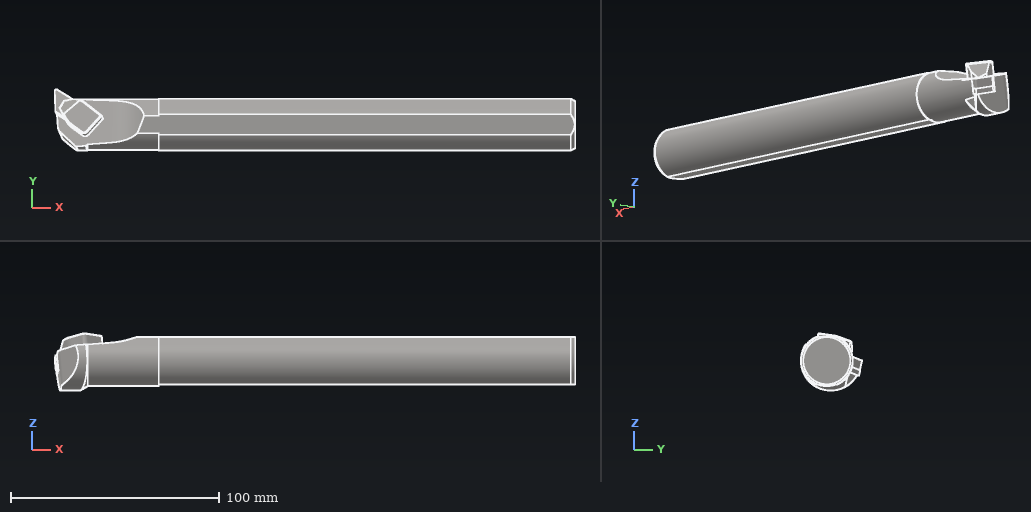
import cadquery as cq
import math


overall_length = 250.0
bar_diameter = 25.0
bar_radius = bar_diameter / 2
flat_height = 11.5
end_chamfer_length = 2.2
end_chamfer_depth = 1.2
neck_start = 16.0
neck_end = 50.0
neck_radius = 12.25

head_radius = 14.4
head_offset = head_radius - bar_radius
head_cone_angle = 30.0
relief_inset = 0.4

tip_offset = 17.0
side_tilt = 0.235
rake_tilt = 0.1
tool_normal = cq.Vector(-rake_tilt, side_tilt, 1).normalized()
tool_x = cq.Vector(1, 0, rake_tilt).normalized()
tool_y = tool_normal.cross(tool_x)
tool_origin = cq.Vector(0, tip_offset, 0)

front_top = (0.3, 0.0)
front_corner = (2.0, -20.0)
front_corner_radius = 4.0
oblique_direction = -43.0
relief_end_y = -4.9

insert_edge = 11.6
insert_angle = 55.0
insert_thickness = 4.76
insert_nose_radius = 0.8
lead_clearance = 3.0
leading_direction = lead_clearance - 90
trailing_direction = leading_direction + insert_angle
bisector_direction = leading_direction + insert_angle / 2
shim_thickness = 2.75
shim_edge = 11.0
shim_setback = 0.6
pocket_end_gap = 1.0

gouge_flat_length = 28.2
gouge_radius = 32.0

clamp_height = 6.65
clamp_left_bend = (7.0, -17.6)
clamp_back_corner = (15.5, -23.9)
clamp_outline = [
    (2.7, -9.5),
    clamp_left_bend,
    clamp_back_corner,
    (23.7, -14.5),
    (14.5, -7.3),
    (9.5, -5.6),
    (4.7, -5.6),
]
clamp_bend_radius = 10.0
clamp_corner_radius = 2.0
clamp_edge_chamfer = 0.4
nose_break = (8.6, -10.8)
nose_direction = 131.5
nose_slope_angle = 46.0

reach = 40.0


def tool_workplane(height=0.0):
    """Workplane parallel to the tool plane, a given height above it."""
    return cq.Workplane(cq.Plane(tool_origin + tool_normal * height, tool_x, tool_normal))


def tool_point(point, height=0.0):
    """Position in space of a point given in tool-plane coordinates."""
    return tool_origin + tool_x * point[0] + tool_y * point[1] + tool_normal * height


def along(point, angle, distance):
    """Point reached from another one in a direction of the tool plane."""
    turn = math.radians(angle)
    return (point[0] + distance * math.cos(turn), point[1] + distance * math.sin(turn))


def upright_workplane(point, angle):
    """Workplane square to the tool plane: local X runs along the angle, local Y is the tool normal."""
    turn = math.radians(angle)
    direction = tool_x * math.cos(turn) + tool_y * math.sin(turn)
    return cq.Workplane(cq.Plane(tool_point(point), direction, direction.cross(tool_normal)))


def revolve_about_axis(profile):
    """Solid turned about the bar axis from an (X, radius) outline."""
    return cq.Workplane("XY").polyline(profile).close().revolve(360, (0, 0, 0), (1, 0, 0))


insert_corner = along(
    (insert_nose_radius, -insert_nose_radius),
    bisector_direction + 180,
    insert_nose_radius / math.sin(math.radians(insert_angle / 2)),
)


def rhombic_plate(corner, leading_length, trailing_length, top, thickness):
    """Plate with the insert's angles, lying below a height over the tool plane."""
    leading_end = along(corner, leading_direction, leading_length)
    far_end = along(leading_end, trailing_direction, trailing_length)
    trailing_end = along(corner, trailing_direction, trailing_length)
    outline = [corner, leading_end, far_end, trailing_end]
    return tool_workplane(top).polyline(outline).close().extrude(-thickness)


def round_upright_edge(body, point, height, radius):
    """Fillet the edge square to the tool plane that passes through a point."""
    edge = cq.selectors.NearestToPointSelector(tool_point(point, height).toTuple())
    return body.edges(edge).fillet(radius)


def make_insert():
    plate = rhombic_plate(insert_corner, insert_edge, insert_edge, 0, insert_thickness)
    return round_upright_edge(plate, insert_corner, -insert_thickness / 2, insert_nose_radius)


def make_shank():
    profile = [
        (neck_end, 0),
        (neck_end, bar_radius),
        (overall_length - end_chamfer_length, bar_radius),
        (overall_length, bar_radius - end_chamfer_depth),
        (overall_length, 0),
    ]
    between_flats = cq.Workplane("XY").box(2 * overall_length, reach, 2 * flat_height)
    return revolve_about_axis(profile).intersect(between_flats)


def make_neck(start):
    """Round neck with the upper flat only."""
    neck = cq.Workplane("YZ", origin=(start, 0, 0)).circle(neck_radius).extrude(neck_end - start)
    above_flat = cq.Workplane("XY", origin=(0, 0, flat_height)).rect(4 * reach, reach).extrude(reach)
    return neck.cut(above_flat)


def make_head_and_neck():
    head = cq.Workplane("YZ").center(head_offset, 0).circle(head_radius).extrude(neck_start)
    cone_growth = neck_start * math.tan(math.radians(head_cone_angle))
    cone_profile = [(0, 0), (0, neck_radius + cone_growth), (neck_start, neck_radius), (neck_start, 0)]
    head = head.intersect(revolve_about_axis(cone_profile))

    relief_start = along(insert_corner, trailing_direction - 90, relief_inset)
    relief_run = (relief_end_y - relief_start[1]) / math.sin(math.radians(trailing_direction))
    relief_end = along(relief_start, trailing_direction, relief_run)
    relief_outline = [
        along(relief_start, trailing_direction, -reach / 2),
        relief_end,
        (reach, relief_end_y),
        (reach, reach),
    ]
    relief = tool_workplane(-reach).polyline(relief_outline).close().extrude(2 * reach)
    return head.cut(relief).union(make_neck(relief_end[0]))


def make_front_envelope():
    """Everything behind the front face and the oblique face of the head."""
    outline = [
        (front_top[0], reach),
        front_top,
        front_corner,
        along(front_corner, oblique_direction, 2 * reach),
        (3 * reach, reach),
    ]
    envelope = tool_workplane(-reach).polyline(outline).close().extrude(2 * reach)
    return round_upright_edge(envelope, front_corner, 0, front_corner_radius)


def make_gouge():
    """Flat chip floor in the tool plane that curves up out of the bar."""
    return (
        upright_workplane((0, reach), 0)
        .moveTo(-reach, 0)
        .lineTo(gouge_flat_length, 0)
        .tangentArcPoint((gouge_flat_length + gouge_radius, gouge_radius), relative=False)
        .lineTo(-reach, gouge_radius)
        .close()
        .extrude(3 * reach)
    )


def make_insert_pocket():
    """Pocket for the insert and shim, with a gap past the end of the leading edge."""
    depth = insert_thickness + shim_thickness
    return rhombic_plate(insert_corner, insert_edge + pocket_end_gap, insert_edge, 0, depth)


def make_shim():
    shim_corner = along(insert_corner, bisector_direction, shim_setback)
    return rhombic_plate(shim_corner, shim_edge, shim_edge, -insert_thickness, shim_thickness)


def make_clamp():
    clamp = tool_workplane().polyline(clamp_outline).close().extrude(clamp_height)
    clamp = round_upright_edge(clamp, clamp_left_bend, clamp_height / 2, clamp_bend_radius)
    clamp = round_upright_edge(clamp, clamp_back_corner, clamp_height / 2, clamp_corner_radius)
    clamp = clamp.faces(cq.selectors.DirectionMinMaxSelector(tool_normal, True)).chamfer(clamp_edge_chamfer)
    nose_drop = reach * math.tan(math.radians(nose_slope_angle))
    nose_cut = (
        upright_workplane(nose_break, nose_direction)
        .polyline([(0, clamp_height), (reach, clamp_height), (reach, clamp_height - nose_drop)])
        .close()
        .extrude(reach, both=True)
    )
    return clamp.cut(nose_cut)


def make_holder():
    holder = make_head_and_neck().intersect(make_front_envelope())
    holder = holder.union(make_shank()).cut(make_gouge())
    holder = holder.cut(make_insert_pocket())
    return holder.union(make_shim()).union(make_clamp())


holder = make_holder().solids()
insert = make_insert().solids()
result = cq.Compound.makeCompound([holder.val(), insert.val()])